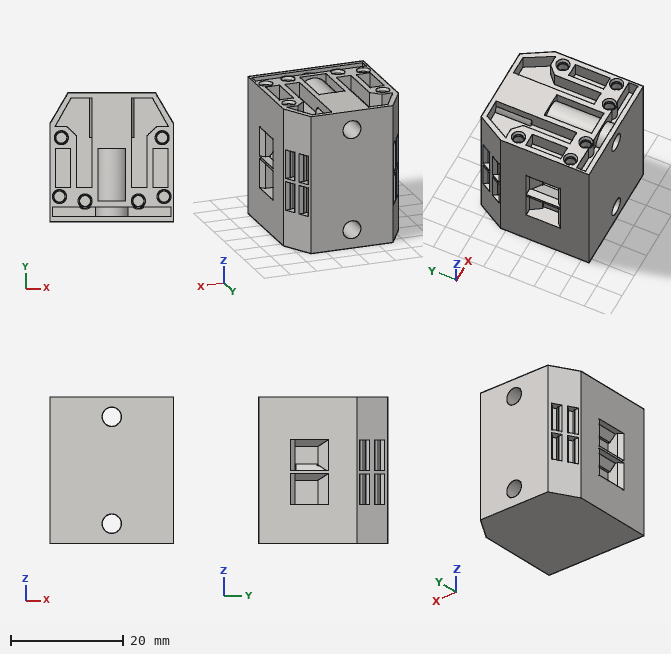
import cadquery as cq
import math

WIDTH = 22.0
DEPTH = 23.0
HEIGHT = 26.1
BACK_WIDTH = 15.6
SHOULDER_Y = 17.55
HALF_WIDTH = WIDTH / 2

HOLE_DIAMETER = 3.4
HOLE_INSET = 3.52
TUBE_DIAMETER = 6.0
HEAD_TUBE_DIAMETER = 8.05
HEAD_TUBE_START = 15.03
TUBE_Z = HEIGHT - HOLE_INSET

POCKET_DEPTH = 2.82
FRONT_SLOT_WIDTH = 21.15
FRONT_SLOT_Y = (0.91, 2.65)
CENTER_POCKET_WIDTH = 4.99
CENTER_POCKET_Y = (3.68, 13.02)
SIDE_POCKET_X = (7.33, 10.0)
SIDE_POCKET_Y = (6.1, 13.02)
BRANCH_X = (3.52, 6.3)
BRANCH_Y = (6.1, 22.08)
BRANCH_BEND = (8.0, 16.96)
BRANCH_BEND_START_Y = 15.35
BRANCH_TIP_X = 10.1
BRANCH_BACK_X = 7.23

PIN_POSITIONS = [(8.98, 14.98), (9.32, 4.5), (4.75, 3.7)]
PIN_MOUTH_DIAMETER = 2.5
PIN_NECK_DIAMETER = 1.95
PIN_DIAMETER = 2.15
PIN_CONE_DEPTH = 0.55
PIN_NECK_DEPTH = 1.07
PIN_DEPTH = 2.82
BOSS_DIAMETER = 2.92
BOSS_PIN = PIN_POSITIONS[2]

WINDOW_BOTTOMS = (6.95, 12.97)
WINDOW_HEIGHT = 5.55
WINDOW_Y = (5.65, 12.48)
WINDOW_MOUTH_DEPTH = 1.28
WINDOW_BEVEL_DEPTH = 0.84
WINDOW_FUNNEL_DEPTH = 2.53
WINDOW_DEPTH = 3.0
THROAT_Y = (6.47, 10.52)
THROAT_HEIGHT = 4.28

RAMP_START_DEPTH = 1.51
RAMP_TOP_DEPTH = 2.6
RAMP_HEIGHT = 1.15
RAMP_FRONT_Y = 6.68

SLOT_BOTTOMS = (6.95, 13.0)
SLOT_HEIGHT = 5.4
SLOT_MIDDLES_Y = (18.87, 21.53)
SLOT_WIDTH = 2.04
SLOT_TAPER = 0.35
SLOT_DEPTH = 0.75
SLOT_STEP = 0.13
SLOT_TOTAL_DEPTH = 1.51


def box(x_range, y_range, z_range):
    size = [high - low for low, high in (x_range, y_range, z_range)]
    corner = (x_range[0], y_range[0], z_range[0])
    return cq.Workplane("XY").box(*size, centered=False).translate(corner)


def both_sides(left):
    return left.union(left.mirror("YZ"))


def rod_along_y(diameter, y_start, y_end, z):
    plane = cq.Workplane("XZ", origin=(0, y_start, z))
    return plane.circle(diameter / 2).extrude(y_start - y_end)


def block():
    half_back = BACK_WIDTH / 2
    outline = [
        (-HALF_WIDTH, 0),
        (HALF_WIDTH, 0),
        (HALF_WIDTH, SHOULDER_Y),
        (half_back, DEPTH),
        (-half_back, DEPTH),
        (-HALF_WIDTH, SHOULDER_Y),
    ]
    return cq.Workplane("XY").polyline(outline).close().extrude(HEIGHT)


def branch_pocket():
    outline = [
        (-BRANCH_X[0], BRANCH_Y[0]),
        (-BRANCH_X[0], BRANCH_Y[1]),
        (-BRANCH_BACK_X, BRANCH_Y[1]),
        (-BRANCH_TIP_X, BRANCH_BEND[1]),
        (-BRANCH_BEND[0], BRANCH_BEND[1]),
        (-BRANCH_X[1], BRANCH_BEND_START_Y),
        (-BRANCH_X[1], BRANCH_Y[0]),
    ]
    plane = cq.Workplane("XY", origin=(0, 0, HEIGHT - POCKET_DEPTH))
    return plane.polyline(outline).close().extrude(POCKET_DEPTH)


def top_pockets():
    pocket_z = (HEIGHT - POCKET_DEPTH, HEIGHT)
    half_slot = FRONT_SLOT_WIDTH / 2
    half_center = CENTER_POCKET_WIDTH / 2
    side_x = (-SIDE_POCKET_X[1], -SIDE_POCKET_X[0])
    boss_plane = cq.Workplane("XY").center(-BOSS_PIN[0], BOSS_PIN[1])
    bosses = both_sides(boss_plane.circle(BOSS_DIAMETER / 2).extrude(HEIGHT))
    front_slot = box((-half_slot, half_slot), FRONT_SLOT_Y, pocket_z).cut(bosses)
    center = box((-half_center, half_center), CENTER_POCKET_Y, pocket_z)
    sides = both_sides(branch_pocket().union(box(side_x, SIDE_POCKET_Y, pocket_z)))
    tube = rod_along_y(TUBE_DIAMETER, 0, HEAD_TUBE_START, TUBE_Z)
    head_tube = rod_along_y(HEAD_TUBE_DIAMETER, HEAD_TUBE_START, DEPTH, TUBE_Z)
    return front_slot.union(center).union(sides).cut(tube).cut(head_tube)


def pin_socket(x, y):
    profile = [
        (0, 0),
        (PIN_MOUTH_DIAMETER / 2, 0),
        (PIN_NECK_DIAMETER / 2, -PIN_CONE_DEPTH),
        (PIN_NECK_DIAMETER / 2, -PIN_NECK_DEPTH),
        (PIN_DIAMETER / 2, -PIN_NECK_DEPTH),
        (PIN_DIAMETER / 2, -PIN_DEPTH),
        (0, -PIN_DEPTH),
    ]
    socket = cq.Workplane("XZ").polyline(profile).close().revolve(360, (0, 0, 0), (0, 1, 0))
    return socket.translate((x, y, HEIGHT))


def wire_window(bottom):
    """Window in the left wall: bevelled mouth, funnel, then a straight throat."""
    bevel_end = -HALF_WIDTH + WINDOW_BEVEL_DEPTH
    mouth_end = -HALF_WIDTH + WINDOW_MOUTH_DEPTH
    funnel_end = -HALF_WIDTH + WINDOW_FUNNEL_DEPTH
    throat_end = -HALF_WIDTH + WINDOW_DEPTH
    mouth_outline = [
        (-HALF_WIDTH, WINDOW_Y[0]),
        (bevel_end, THROAT_Y[0]),
        (mouth_end, THROAT_Y[0]),
        (mouth_end, WINDOW_Y[1]),
        (-HALF_WIDTH, WINDOW_Y[1]),
    ]
    plane = cq.Workplane("XY", origin=(0, 0, bottom))
    mouth = plane.polyline(mouth_outline).close().extrude(WINDOW_HEIGHT)
    throat = box((funnel_end, throat_end), THROAT_Y, (bottom, bottom + THROAT_HEIGHT))
    funnel = (
        cq.Workplane("YZ", origin=(mouth_end, THROAT_Y[0], bottom))
        .rect(WINDOW_Y[1] - THROAT_Y[0], WINDOW_HEIGHT, centered=False)
        .workplane(offset=funnel_end - mouth_end)
        .rect(THROAT_Y[1] - THROAT_Y[0], THROAT_HEIGHT, centered=False)
        .loft(ruled=True)
    )
    return mouth.union(funnel).union(throat)


def window_ramp(bottom):
    """Wedge on the window floor, trimmed by the slanted plane of the funnel's back wall."""
    start_x = -HALF_WIDTH + RAMP_START_DEPTH
    top_x = -HALF_WIDTH + RAMP_TOP_DEPTH
    end_x = -HALF_WIDTH + WINDOW_DEPTH
    top_z = bottom + RAMP_HEIGHT
    profile = [(start_x, bottom), (top_x, top_z), (end_x, top_z), (end_x, bottom)]
    plane = cq.Workplane("XZ", origin=(0, RAMP_FRONT_Y, 0))
    wedge = plane.polyline(profile).close().extrude(RAMP_FRONT_Y - WINDOW_Y[1])

    slope = (WINDOW_Y[1] - THROAT_Y[1]) / (WINDOW_FUNNEL_DEPTH - WINDOW_MOUTH_DEPTH)
    wall_x = -HALF_WIDTH + WINDOW_MOUTH_DEPTH
    top_y = WINDOW_Y[1] - slope * (top_x - wall_x)
    keep = [
        (wall_x, 0),
        (wall_x, WINDOW_Y[1]),
        (top_x, top_y),
        (end_x, top_y),
        (end_x, 0),
    ]
    return wedge.intersect(cq.Workplane("XY").polyline(keep).close().extrude(HEIGHT))


def shoulder_slot(middle_y, bottom):
    """Slot in the left shoulder: tapered mouth, then a narrower straight step."""
    run = HALF_WIDTH - BACK_WIDTH / 2
    rise = DEPTH - SHOULDER_Y
    middle_x = -HALF_WIDTH + run * (middle_y - SHOULDER_Y) / rise
    inward_angle = -math.degrees(math.atan2(run, rise))
    half_mouth = SLOT_WIDTH / 2
    half_waist = half_mouth - SLOT_TAPER
    half_inner = half_waist - SLOT_STEP
    outline = [
        (0, half_mouth),
        (SLOT_DEPTH, half_waist),
        (SLOT_DEPTH, half_inner),
        (SLOT_TOTAL_DEPTH, half_inner),
        (SLOT_TOTAL_DEPTH, -half_inner),
        (SLOT_DEPTH, -half_inner),
        (SLOT_DEPTH, -half_waist),
        (0, -half_mouth),
    ]
    slot = cq.Workplane("XY").polyline(outline).close().extrude(SLOT_HEIGHT)
    slot = slot.rotate((0, 0, 0), (0, 0, 1), inward_angle)
    return slot.translate((middle_x, middle_y, bottom))


result = block().cut(top_pockets())

for hole_z in (HOLE_INSET, TUBE_Z):
    result = result.cut(rod_along_y(HOLE_DIAMETER, 0, DEPTH, hole_z))

for pin_x, pin_y in PIN_POSITIONS:
    result = result.cut(both_sides(pin_socket(-pin_x, pin_y)))

for window_bottom in WINDOW_BOTTOMS:
    result = result.cut(both_sides(wire_window(window_bottom)))
result = result.union(both_sides(window_ramp(WINDOW_BOTTOMS[1])))

for slot_bottom in SLOT_BOTTOMS:
    for slot_y in SLOT_MIDDLES_Y:
        result = result.cut(both_sides(shoulder_slot(slot_y, slot_bottom)))